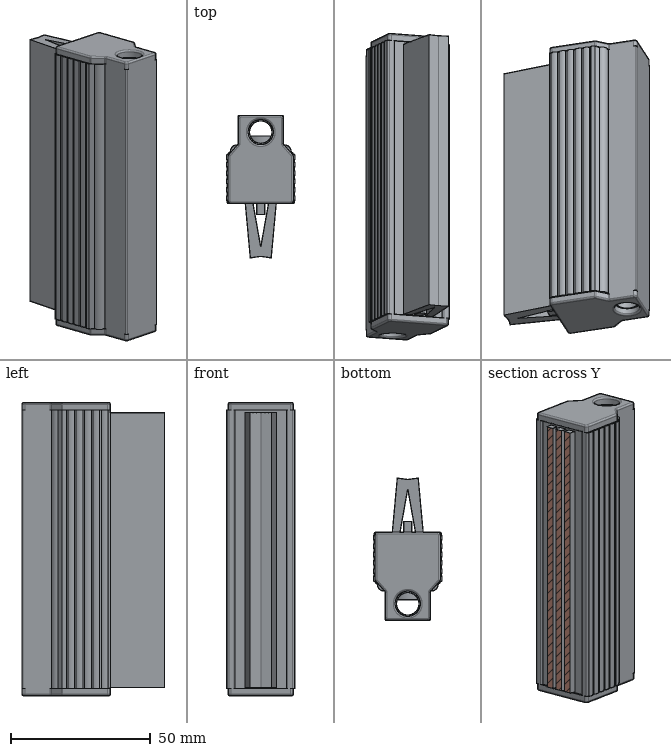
import cadquery as cq
import math


length = 105.0
cap_thickness = 2.6
cap_half_width = 11.7
cap_corner_radius = 1.0
cap_shoulder_blend = 0.7
cap_shoulder_y = 17.3
cap_neck_y = 21.3
rim_radius = 0.6
hole_edge_radius = 0.6

back_y = 31.6
neck_half_width = 8.1
neck_base_y = 21.1
neck_corner_radius = 0.4
body_width = 24.7
shoulder_radius = 2.5
shoulder_center_x = 8.4
shoulder_flank_y = 18.7
corner_top_y = 17.3
corner_bottom_y = 15.8
front_corner_radius = 0.6

rib_count = 5
rib_diameter = 5.0
rib_width = 2.4
first_rib_y = 2.0
last_rib_y = 14.0

recess_half_width = 9.2
recess_depth = 0.7
lip_radius = 0.4

bore_y = 25.6
bore_diameter = 8.0
cap_hole_diameter = 9.0
pin_diameter = 11.4
pin_end_y = 24.3
pin_length = 5.2

blade_bottom = 2.9
blade_top = 101.4
tip_y = -19.4
tip_half_width = 3.8
tip_notch = 0.5
leg_outer_half_width = 5.6
leg_inner_half_width = 2.7
leg_fork_y = -15.3
bar_width = 2.9
bar_end_y = -3.9
root_embed = 0.5

body_half_width = body_width / 2
rib_radius = rib_diameter / 2
rib_height = rib_radius - math.sqrt(rib_radius**2 - (rib_width / 2) ** 2)
groove_half_width = body_half_width - rib_height
rib_pitch = (last_rib_y - first_rib_y) / (rib_count - 1)
body_length = length - 2 * cap_thickness
root_y = recess_depth + root_embed


def both_sides(half):
    """Join a solid on the +X side with its mirror image."""
    return half.union(half.mirror("YZ"))


def make_body():
    """Extruded housing with rounded shoulders, side ribs and a front recess."""
    shoulder_center_y = neck_base_y - shoulder_radius
    flank_rise = shoulder_flank_y - shoulder_center_y
    flank_x = shoulder_center_x + math.sqrt(shoulder_radius**2 - flank_rise**2)
    arc_mid = (
        shoulder_center_x + shoulder_radius * math.sin(math.pi / 4),
        shoulder_center_y + shoulder_radius * math.cos(math.pi / 4),
    )
    outline = (
        cq.Workplane("XY", origin=(0, 0, cap_thickness))
        .moveTo(0, back_y)
        .lineTo(neck_half_width, back_y)
        .lineTo(neck_half_width, neck_base_y)
        .lineTo(shoulder_center_x, neck_base_y)
        .threePointArc(arc_mid, (flank_x, shoulder_flank_y))
        .lineTo(body_half_width, corner_top_y)
        .lineTo(body_half_width, corner_bottom_y)
        .lineTo(groove_half_width, corner_bottom_y)
    )
    for index in reversed(range(rib_count)):
        rib_y = first_rib_y + index * rib_pitch
        outline = outline.lineTo(groove_half_width, rib_y + rib_width / 2).threePointArc(
            (body_half_width, rib_y), (groove_half_width, rib_y - rib_width / 2)
        )
    mid_sagitta = 1 - math.sin(math.pi / 4)
    corner_mid = front_corner_radius * mid_sagitta
    lip_mid = lip_radius * mid_sagitta
    half = (
        outline.lineTo(groove_half_width, front_corner_radius)
        .threePointArc(
            (groove_half_width - corner_mid, corner_mid),
            (groove_half_width - front_corner_radius, 0),
        )
        .lineTo(recess_half_width + lip_radius, 0)
        .threePointArc((recess_half_width + lip_mid, lip_mid), (recess_half_width, lip_radius))
        .lineTo(recess_half_width, recess_depth)
        .lineTo(0, recess_depth)
        .close()
        .extrude(body_length)
    )
    return both_sides(half).edges("|Z and >Y").fillet(neck_corner_radius)


def make_top_cap():
    """End cap with rounded corners, a rounded outer rim and a rounded hole."""
    right_side = [
        (cap_half_width, 0),
        (cap_half_width, cap_shoulder_y),
        (neck_half_width, cap_neck_y),
        (neck_half_width, back_y),
    ]
    left_side = [(-x, y) for x, y in reversed(right_side)]
    plate = (
        cq.Workplane("XY", origin=(0, 0, length - cap_thickness))
        .polyline(right_side + left_side)
        .close()
        .extrude(cap_thickness)
    )
    hole = (
        cq.Workplane("XY", origin=(0, bore_y, length - cap_thickness))
        .circle(cap_hole_diameter / 2)
        .extrude(cap_thickness)
    )
    plate = plate.cut(hole).faces(">Z").edges("%CIRCLE").fillet(hole_edge_radius)
    plate = plate.edges("|Z and (<Y or >Y)").fillet(cap_corner_radius)
    shoulder_edges = cq.selectors.BoxSelector(
        (-length, cap_shoulder_y - cap_shoulder_blend, 0),
        (length, cap_neck_y + cap_shoulder_blend, length),
    )
    plate = plate.edges("|Z").edges(shoulder_edges).fillet(cap_shoulder_blend)
    return plate.faces(">Z").edges("<Y").fillet(rim_radius)


def make_bore():
    """Round passage along the neck, between the two caps."""
    return (
        cq.Workplane("XY", origin=(0, bore_y, cap_thickness))
        .circle(bore_diameter / 2)
        .extrude(body_length)
    )


def make_pin():
    """Cross pin at mid length whose flat end stands in the bore."""
    return (
        cq.Workplane("XZ", origin=(0, pin_end_y, length / 2))
        .circle(pin_diameter / 2)
        .extrude(pin_length)
    )


def make_wiper():
    """Forked blade with a notched tip, and the bar between its legs."""
    outer_slope = (leg_outer_half_width - tip_half_width) / -tip_y
    inner_slope = leg_inner_half_width / -leg_fork_y
    half_leg = (
        cq.Workplane("XY", origin=(0, 0, blade_bottom))
        .moveTo(0, leg_fork_y)
        .lineTo(leg_inner_half_width + inner_slope * root_y, root_y)
        .lineTo(leg_outer_half_width + outer_slope * root_y, root_y)
        .lineTo(tip_half_width, tip_y)
        .lineTo(0, tip_y + tip_notch)
        .close()
        .extrude(blade_top - blade_bottom)
    )
    bar = (
        cq.Workplane("XY", origin=(0, 0, blade_bottom))
        .moveTo(0, (root_y + bar_end_y) / 2)
        .rect(bar_width, root_y - bar_end_y)
        .extrude(blade_top - blade_bottom)
    )
    return both_sides(half_leg).union(bar)


top_cap = make_top_cap()
bottom_cap = top_cap.mirror("XY", (0, 0, length / 2))
body = make_body().cut(make_bore()).union(make_pin())
result = body.union(top_cap).union(bottom_cap).union(make_wiper())